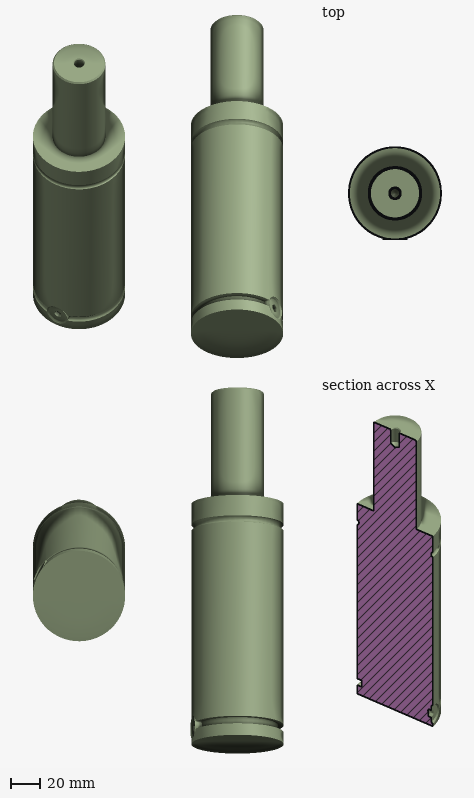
import cadquery as cq
import math

total_height = 245.0
body_diameter = 63.0
body_height = 167.0
rod_diameter = 36.0
rod_chamfer = 1.0

base_groove_bottom = 8.0
base_groove_top = 13.2
base_groove_depth = 4.0

ring_groove_center = 150.7
ring_groove_width = 4.5
ring_groove_depth = 1.5

rod_hole_diameter = 6.9
rod_hole_mouth_diameter = 8.0
rod_hole_depth = 12.2
drill_point_angle = 118.0

plug_height = 10.5
plug_diameter = 16.0
plug_face_diameter = 14.0
port_depth = 4.0
plug_inset = 0.2
plug_recess_depth = 1.0
plug_length = 9.8
socket_across_corners = 6.0
socket_depth = 3.0

body_radius = body_diameter / 2
rod_radius = rod_diameter / 2


def make_cylinder_and_rod():
    """Revolve the grooved body together with the chamfered rod."""
    groove_radius = body_radius - base_groove_depth
    profile = (
        cq.Workplane("XZ")
        .lineTo(body_radius, 0)
        .lineTo(body_radius, base_groove_bottom)
        .lineTo(groove_radius, base_groove_bottom)
        .lineTo(groove_radius, base_groove_top)
        .lineTo(body_radius, base_groove_top)
        .lineTo(body_radius, ring_groove_center - ring_groove_width / 2)
        .threePointArc(
            (body_radius - ring_groove_depth, ring_groove_center),
            (body_radius, ring_groove_center + ring_groove_width / 2),
        )
        .lineTo(body_radius, body_height)
        .lineTo(rod_radius, body_height)
        .lineTo(rod_radius, total_height - rod_chamfer)
        .lineTo(rod_radius - rod_chamfer, total_height)
        .lineTo(0, total_height)
        .close()
    )
    return profile.revolve(360, (0, 0, 0), (0, 1, 0))


def make_rod_hole():
    """Blind hole with a 45 degree mouth chamfer and a conical drill point."""
    hole_radius = rod_hole_diameter / 2
    mouth_radius = rod_hole_mouth_diameter / 2
    mouth_chamfer = mouth_radius - hole_radius
    point_height = hole_radius / math.tan(math.radians(drill_point_angle / 2))
    floor = total_height - rod_hole_depth
    profile = (
        cq.Workplane("XZ")
        .moveTo(0, total_height)
        .lineTo(mouth_radius, total_height)
        .lineTo(hole_radius, total_height - mouth_chamfer)
        .lineTo(hole_radius, floor)
        .lineTo(0, floor - point_height)
        .close()
    )
    return profile.revolve(360, (0, 0, 0), (0, 1, 0))


port_plane = cq.Workplane("XZ", origin=(0, -body_radius, plug_height))


def make_port():
    """Round seat in the body wall that receives the plug."""
    return port_plane.circle(plug_diameter / 2).extrude(-port_depth)


def make_plug():
    """Round plug with a dished front and a hexagonal socket, one corner up."""
    plug_front = port_plane.workplane(offset=-plug_inset)
    plug = plug_front.circle(plug_diameter / 2).extrude(-plug_length)
    dish = (
        plug_front.circle(plug_diameter / 2)
        .workplane(offset=-plug_recess_depth)
        .circle(plug_face_diameter / 2)
        .loft(ruled=True)
    )
    socket = (
        plug_front.transformed(rotate=(0, 0, 90))
        .polygon(6, socket_across_corners)
        .extrude(-plug_recess_depth - socket_depth)
    )
    return plug.cut(dish).cut(socket)


result = (
    make_cylinder_and_rod()
    .cut(make_rod_hole())
    .cut(make_port())
    .union(make_plug())
)